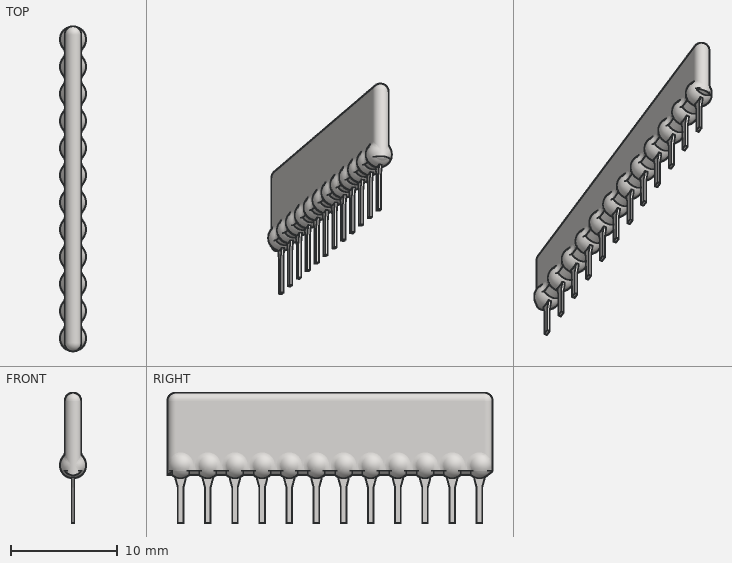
import cadquery as cq
import math

body_length = 30.43
body_thickness = 1.55
body_top = 12.2
half_thickness = body_thickness / 2
end_axis = body_length / 2 - half_thickness
top_axis = body_top - half_thickness

lead_count = 12
bead_diameter = 2.45
bead_radius = bead_diameter / 2
bead_height = 5.42
bead_fillet = 0.55
end_bead_inset = 1.25
first_bead = body_length / 2 - end_bead_inset
pitch = 2 * first_bead / (lead_count - 1)
bead_positions = [i * pitch - first_bead for i in range(lead_count)]

underside_radius = 0.95
underside_rise = math.sqrt(underside_radius**2 - half_thickness**2)
face_bottom = bead_height - underside_rise

lead_width = 0.55
lead_thickness = 0.27
lead_root_width = 1.0
taper_start = 3.35
taper_end = bead_height - bead_radius


def along_row(item):
    """One copy of an item at every lead position along Y."""
    copies = [item.val().translate(cq.Vector(0, y, 0)) for y in bead_positions]
    return cq.Workplane("XY").newObject(copies)


def make_beads():
    """Row of separate spheres with their poles facing +X and -X."""
    bead = cq.Workplane("XY").sphere(bead_radius).rotate((0, 0, 0), (0, 1, 0), 90)
    return along_row(bead.translate((0, 0, bead_height)))


def make_beaded_plate():
    """Round-ended plate with every bead filleted into it, cut level at the foot of its flat faces."""
    plate = (
        cq.Workplane("XY")
        .slot2D(body_length, body_thickness, 90)
        .extrude(top_axis)
    )
    beaded = plate.union(make_beads())
    bead_outlines = [
        edge
        for edge in beaded.edges().vals()
        if edge.geomType() != "LINE" and abs(edge.Center().z - bead_height) < bead_radius
    ]
    filleted = beaded.newObject(bead_outlines).fillet(bead_fillet)
    below = cq.Workplane("XY").box(
        2 * bead_diameter, 2 * body_length, face_bottom, centered=(True, True, False)
    )
    return filleted.cut(below)


def make_top():
    """Half-round top edge with quarter-sphere corners."""
    top = (
        cq.Workplane("XZ", origin=(0, end_axis, top_axis))
        .circle(half_thickness)
        .extrude(2 * end_axis)
    )
    for y in (-end_axis, end_axis):
        corner = cq.Workplane("XY").sphere(half_thickness)
        top = top.union(corner.translate((0, y, top_axis)))
    return top


def make_underside():
    """Rounded strip below the flat faces, square at the -Y end and domed at the +Y end."""
    segment = (
        cq.Workplane("XZ", origin=(0, end_axis, 0))
        .moveTo(-half_thickness, face_bottom)
        .threePointArc((0, bead_height - underside_radius), (half_thickness, face_bottom))
        .close()
        .extrude(end_axis + body_length / 2)
    )
    plan = cq.Workplane("XY").slot2D(body_length, body_thickness, 90).extrude(body_top)
    dome = (
        cq.Workplane("XZ")
        .moveTo(0, face_bottom)
        .lineTo(half_thickness, face_bottom)
        .radiusArc((0, bead_height - underside_radius), underside_radius)
        .close()
        .revolve(360, (0, 0, 0), (0, 1, 0))
        .translate((0, end_axis, 0))
    )
    return segment.intersect(plan).union(dome)


def make_lead():
    """One flat lead from its tip up to the middle of the bead."""
    half_width = lead_width / 2
    half_root = lead_root_width / 2
    return (
        cq.Workplane("YZ", origin=(-lead_thickness / 2, 0, 0))
        .polyline([
            (-half_width, 0),
            (half_width, 0),
            (half_width, taper_start),
            (half_root, taper_end),
            (half_root, bead_height),
            (-half_root, bead_height),
            (-half_root, taper_end),
            (-half_width, taper_start),
        ])
        .close()
        .extrude(lead_thickness)
    )


result = (
    make_beaded_plate()
    .union(make_top())
    .union(make_underside())
    .union(make_beads())
    .union(along_row(make_lead()))
    .solids()
)